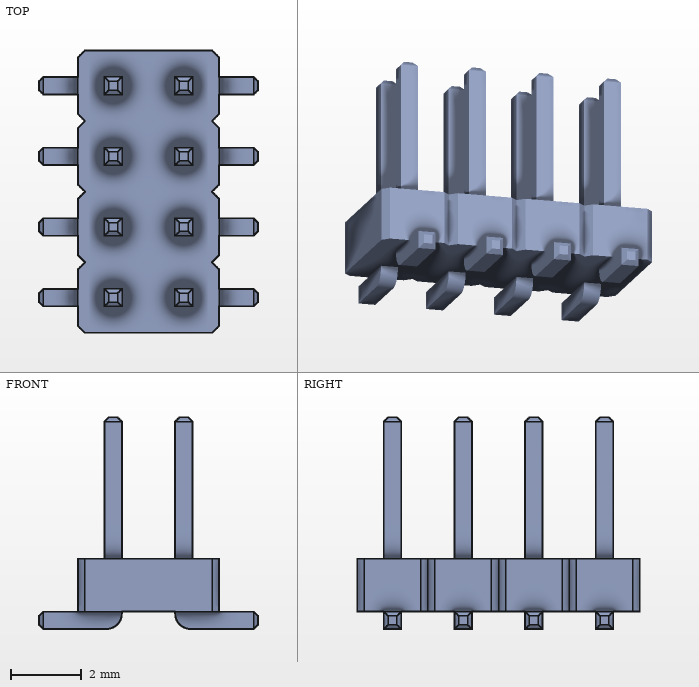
import cadquery as cq

pitch = 2.0
column_count = 2
row_count = 4
pin_size = pitch / 4
foot_span = 6.2
pin_exposed = 4.0
total_height = 6.0
notch_depth = 0.2
bend_radius = 0.45
tip_inset = pin_size / 4
tip_length = tip_inset

body_width = column_count * pitch
body_bottom = pin_size
body_height = total_height - pin_exposed - pin_size
pin_center_x = pitch / 2
foot_tip_x = foot_span / 2
row_centers = [(row - (row_count - 1) / 2) * pitch for row in range(row_count)]


def make_body_section(center_y):
    """One row of the body: a block with its four upright edges bevelled."""
    return (
        cq.Workplane("XY")
        .box(body_width, pitch, body_height, centered=(True, True, False))
        .edges("|Z")
        .chamfer(notch_depth)
        .translate((0, center_y, body_bottom))
    )


def make_tip(base_center, direction):
    """Tapered end of a pin, starting at base_center and pointing along direction."""
    flat_size = pin_size - 2 * tip_inset
    base = cq.Plane(origin=base_center, xDir=(0, 1, 0), normal=direction)
    return (
        cq.Workplane(base)
        .rect(pin_size, pin_size)
        .workplane(offset=tip_length)
        .rect(flat_size, flat_size)
        .loft(ruled=True)
    )


def make_pin(center_y):
    """Right-hand bent pin: an upright post that turns outward into a foot."""
    inner_x = pin_center_x - pin_size / 2
    outer_x = pin_center_x + pin_size / 2
    post_end_z = total_height - tip_length
    foot_end_x = foot_tip_x - tip_length
    wire = (
        cq.Workplane("XZ")
        .moveTo(foot_end_x, 0)
        .lineTo(inner_x + bend_radius, 0)
        .radiusArc((inner_x, bend_radius), bend_radius)
        .lineTo(inner_x, post_end_z)
        .lineTo(outer_x, post_end_z)
        .lineTo(outer_x, pin_size)
        .lineTo(foot_end_x, pin_size)
        .close()
        .extrude(pin_size / 2, both=True)
    )
    post_tip = make_tip((pin_center_x, 0, post_end_z), (0, 0, 1))
    foot_tip = make_tip((foot_end_x, 0, pin_size / 2), (1, 0, 0))
    return wire.union(post_tip).union(foot_tip).translate((0, center_y, 0))


result = make_body_section(row_centers[0])
for center_y in row_centers[1:]:
    result = result.union(make_body_section(center_y))
for center_y in row_centers:
    pin = make_pin(center_y)
    result = result.union(pin).union(pin.mirror("YZ"))
result = result.clean()